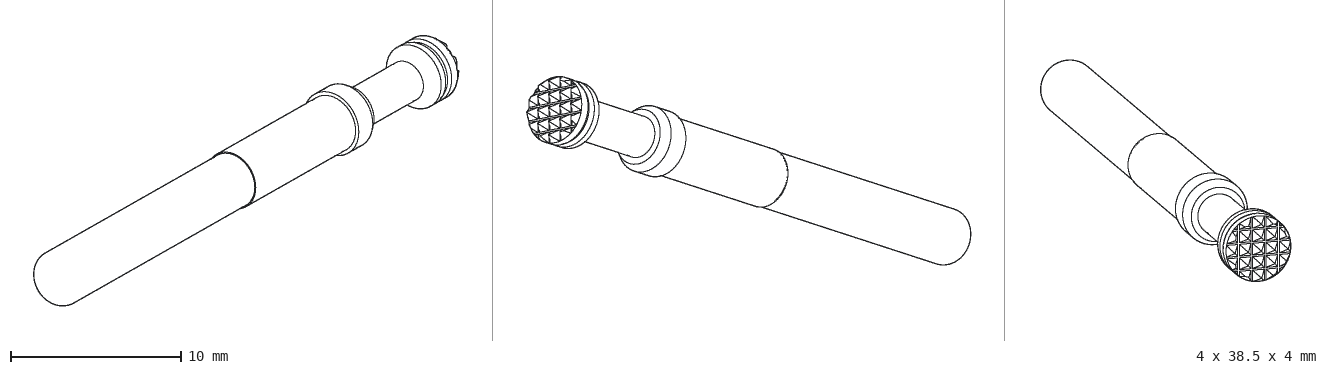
import cadquery as cq
import math


head_band_length = 2.25
tip_to_collar = 8.5
collar_length = 2.0
press_zone_length = 10.0
barrel_length = 18.0

head_radius = 2.0
plunger_radius = 1.25
collar_radius = 2.0
press_zone_radius = 1.77
barrel_radius = 1.7

collar_chamfer_length = 0.6
collar_chamfer_angle = 30.0
end_fillet_radius = 0.8

groove_start = 1.2
groove_bottom = 1.45
groove_end = 1.8
groove_depth = 0.12

tooth_pitch = 0.82
tooth_height = 0.6
teeth_per_row = 5
tooth_root_width = 0.1
tooth_point_width = 0.02

head_face_radius = 1.67

collar_top = collar_length
tip = collar_top + tip_to_collar
tooth_root = tip - tooth_height
cone_start = tip - head_band_length
cone_end = cone_start - (head_radius - plunger_radius)
press_zone_end = -press_zone_length
end_face = press_zone_end - barrel_length


def revolve_about_y(outline):
    return outline.close().revolve(360, (0, 0, 0), (0, 1, 0))


def make_plunger():
    return revolve_about_y(
        cq.Workplane("XY")
        .moveTo(0, tip)
        .lineTo(head_face_radius, tip)
        .lineTo(head_radius, tooth_root)
        .lineTo(head_radius, tip - groove_start)
        .lineTo(head_radius - groove_depth, tip - groove_bottom)
        .lineTo(head_radius, tip - groove_end)
        .lineTo(head_radius, cone_start)
        .lineTo(plunger_radius, cone_end)
        .lineTo(plunger_radius, 0)
        .lineTo(0, 0)
    )


def make_barrel():
    chamfer_width = collar_chamfer_length * math.tan(math.radians(collar_chamfer_angle))
    end_face_radius = barrel_radius - end_fillet_radius
    return revolve_about_y(
        cq.Workplane("XY")
        .moveTo(0, collar_top)
        .lineTo(collar_radius - chamfer_width, collar_top)
        .lineTo(collar_radius, collar_top - collar_chamfer_length)
        .lineTo(collar_radius, 0)
        .lineTo(press_zone_radius, 0)
        .lineTo(press_zone_radius, press_zone_end)
        .lineTo(barrel_radius, press_zone_end)
        .lineTo(barrel_radius, end_face + end_fillet_radius)
        .radiusArc((end_face_radius, end_face), end_fillet_radius)
        .lineTo(0, end_face)
    )


def make_tooth_grooves():
    """V-grooves with a narrow flat root running along Z, one on each side of every row of teeth."""
    first_groove = -teeth_per_row * tooth_pitch / 2
    opening = tooth_pitch - tooth_point_width
    grooves = cq.Workplane("XY")
    for i in range(teeth_per_row + 1):
        x = first_groove + i * tooth_pitch
        groove = (
            cq.Workplane("XY")
            .moveTo(x - opening / 2, tip)
            .lineTo(x - tooth_root_width / 2, tooth_root)
            .lineTo(x + tooth_root_width / 2, tooth_root)
            .lineTo(x + opening / 2, tip)
            .close()
            .extrude(2 * head_radius, both=True)
        )
        grooves = grooves.add(groove)
    return grooves.combine()


def cut_teeth(plunger):
    """Cross two sets of grooves so that square pyramids are left, trimmed by the head bevel."""
    grooves_along_z = make_tooth_grooves()
    grooves_along_x = grooves_along_z.rotate((0, 0, 0), (0, 1, 0), 90)
    return plunger.cut(grooves_along_z).cut(grooves_along_x)


result = cut_teeth(make_plunger()).union(make_barrel())